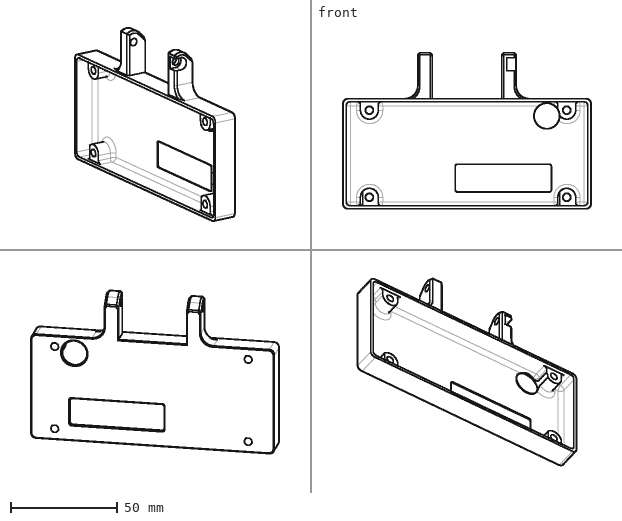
import cadquery as cq
import math

TRAY_WIDTH = 117.0
TRAY_HEIGHT = 52.0
TRAY_DEPTH = 11.6
WALL = 1.5
FLOOR = 1.0
OUTER_CORNER_RADIUS = 2.5
INNER_CORNER_RADIUS = 2.0
FLOOR_FILLET = 2.0
BACK_EDGE_CHAMFER = 0.5

BOSS_RADIUS = 4.2
BOSS_LEFT_X = -46.0
BOSS_RIGHT_X = 47.0
BOSS_END_INSET = 5.5
BOSS_RECESS = 2.0
BOSS_HOLE_DIAMETER = 3.6
BOSS_WALL_FILLET = 1.5
BOSS_FLAT_OFFSET = 3.2
BOSS_FLAT_LENGTH = 4.5
BOSS_FLAT_FILLET = 1.0

WINDOW_WIDTH = 45.2
WINDOW_HEIGHT = 13.0
WINDOW_LEFT = -5.5
WINDOW_BOTTOM = 8.0
WINDOW_CORNER_RADIUS = 1.0
ROUND_OPENING_DIAMETER = 12.0
ROUND_OPENING_X = 37.6
ROUND_OPENING_Z = 43.8

ARM_INNER_X = 16.3
ARM_THICKNESS = 6.9
ARM_HEIGHT = 21.6
ARM_DEPTH = 10.2
ARM_ROOT_RADIUS = 6.0
ARM_CHAMFER = 1.0
ARM_OVERLAP = 1.25
PIVOT_DIAMETER = 3.6
PIVOT_TIP_RADIUS = 5.4
PIVOT_FROM_BACK = 7.0
SLOT_WIDTH = 6.0
SLOT_DEPTH = 4.4

PICK = 0.1

ARM_OUTER_X = ARM_INNER_X + ARM_THICKNESS
ARM_TOP = TRAY_HEIGHT + ARM_HEIGHT
ARM_FRONT = TRAY_DEPTH - ARM_DEPTH
PIVOT_Y = TRAY_DEPTH - PIVOT_FROM_BACK
PIVOT_Z = ARM_TOP - PIVOT_TIP_RADIUS
FLOOR_Y = TRAY_DEPTH - FLOOR


def front_plane(y):
    """XZ sketch plane at the given Y whose extrusions run toward +Y (local y is -Z)."""
    return cq.Plane(origin=(0, y, 0), xDir=(1, 0, 0), normal=(0, 1, 0))


def block(x_min, x_max, y_min, y_max, z_min, z_max):
    size = (x_max - x_min, y_max - y_min, z_max - z_min)
    return cq.Workplane("XY").box(*size, centered=False).translate((x_min, y_min, z_min))


def cylinder_along_y(x, z, diameter, y_min, y_max):
    return cq.Workplane(front_plane(y_min)).center(x, -z).circle(diameter / 2).extrude(y_max - y_min)


def cylinder_along_x(y, z, diameter, x_min, x_max):
    return cq.Workplane("YZ", origin=(x_min, 0, 0)).center(y, z).circle(diameter / 2).extrude(x_max - x_min)


def boss_centers():
    """Yield X, Z and the Z direction toward the nearest long wall for each boss."""
    for x in (BOSS_LEFT_X, BOSS_RIGHT_X):
        yield x, BOSS_END_INSET, -1
        yield x, TRAY_HEIGHT - BOSS_END_INSET, 1


def make_outer_block():
    outer = block(-TRAY_WIDTH / 2, TRAY_WIDTH / 2, 0, TRAY_DEPTH, 0, TRAY_HEIGHT)
    return outer.edges("|Y").fillet(OUTER_CORNER_RADIUS)


def make_boss(x, z, wall_direction):
    """U-shaped boss whose flat sides run into the nearest long wall."""
    boss = cylinder_along_y(x, z, 2 * BOSS_RADIUS, BOSS_RECESS, FLOOR_Y + FLOOR / 2)
    z_wall = z + wall_direction * (BOSS_END_INSET - WALL / 2)
    web = block(x - BOSS_RADIUS, x + BOSS_RADIUS, BOSS_RECESS, FLOOR_Y + FLOOR / 2,
                min(z, z_wall), max(z, z_wall))
    return boss.union(web)


def make_cavity():
    """Inside volume of the tray, with the bosses left standing and the floor edges rounded."""
    half_width = TRAY_WIDTH / 2 - WALL
    cavity = block(-half_width, half_width, 0, FLOOR_Y, WALL, TRAY_HEIGHT - WALL)
    cavity = cavity.edges("|Y").fillet(INNER_CORNER_RADIUS)
    for x, z, wall_direction in boss_centers():
        cavity = cavity.cut(make_boss(x, z, wall_direction))
    cavity = cavity.edges(boss_wall_edges()).fillet(BOSS_WALL_FILLET)
    return cavity.faces(">Y").edges().fillet(FLOOR_FILLET)


def boss_wall_edges():
    """Selector for the corners along Y where the boss sides meet the long walls."""
    corners = None
    for x, _, wall_direction in boss_centers():
        z_wall = WALL if wall_direction < 0 else TRAY_HEIGHT - WALL
        for side in (-1, 1):
            corner = edge_at(x + side * BOSS_RADIUS, z_wall)
            corners = corner if corners is None else corners + corner
    return corners


def edge_at(x, z):
    """Selector for edges along Y at the given X and Z."""
    near = cq.selectors.BoxSelector(
        (x - PICK, -PICK, z - PICK), (x + PICK, TRAY_DEPTH, z + PICK))
    return near & cq.selectors.ParallelDirSelector(cq.Vector(0, 1, 0))


def make_boss_flat(x):
    """Cutter that flattens the left side of a lower boss, with a rounded foot on the wall."""
    y_end = BOSS_RECESS + BOSS_FLAT_LENGTH
    x_flat = x - BOSS_FLAT_OFFSET
    cutter = block(x_flat - BOSS_RADIUS, x_flat, BOSS_RECESS, y_end,
                   WALL, BOSS_END_INSET + BOSS_RADIUS)
    return cutter.edges(edge_at(x_flat, WALL)).fillet(BOSS_FLAT_FILLET)


def make_arm():
    """Right-hand arm: flared root, rounded and sloped tip, chamfered front and top edges."""
    root_x = ARM_OUTER_X + ARM_ROOT_RADIUS
    root_z = TRAY_HEIGHT + ARM_ROOT_RADIUS
    reach = ARM_ROOT_RADIUS * (1 - math.sqrt(0.5))
    bottom = TRAY_HEIGHT - ARM_OVERLAP
    arm = (
        cq.Workplane(front_plane(ARM_FRONT))
        .moveTo(ARM_INNER_X, -bottom)
        .lineTo(ARM_INNER_X, -ARM_TOP)
        .lineTo(ARM_OUTER_X, -ARM_TOP)
        .lineTo(ARM_OUTER_X, -root_z)
        .threePointArc((ARM_OUTER_X + reach, -(TRAY_HEIGHT + reach)), (root_x, -TRAY_HEIGHT))
        .lineTo(root_x, -bottom)
        .close()
        .extrude(ARM_DEPTH)
    )

    front_rise = math.sqrt(PIVOT_TIP_RADIUS ** 2 - (PIVOT_Y - ARM_FRONT) ** 2)
    tangent = PIVOT_TIP_RADIUS * math.sqrt(0.5)
    back_rise = PIVOT_TIP_RADIUS * math.sqrt(2) - PIVOT_FROM_BACK
    side_profile = (
        cq.Workplane("YZ")
        .moveTo(ARM_FRONT, bottom)
        .lineTo(ARM_FRONT, PIVOT_Z + front_rise)
        .threePointArc((PIVOT_Y, ARM_TOP), (PIVOT_Y + tangent, PIVOT_Z + tangent))
        .lineTo(TRAY_DEPTH, PIVOT_Z + back_rise)
        .lineTo(TRAY_DEPTH, bottom)
        .close()
        .extrude(root_x)
    )
    arm = arm.intersect(side_profile)

    upper_part = cq.selectors.BoxSelector(
        (0, ARM_FRONT - PICK, TRAY_HEIGHT), (root_x, TRAY_DEPTH - PICK, ARM_TOP))
    return arm.edges(upper_part).edges("not |X").chamfer(ARM_CHAMFER)


def make_slot():
    """Round-ended slot around the pivot, open to the front and outer side of the right arm."""
    x_min = ARM_OUTER_X - SLOT_DEPTH
    round_end = cylinder_along_x(PIVOT_Y, PIVOT_Z, SLOT_WIDTH, x_min, ARM_OUTER_X)
    mouth = block(x_min, ARM_OUTER_X, ARM_FRONT, PIVOT_Y,
                  PIVOT_Z - SLOT_WIDTH / 2, PIVOT_Z + SLOT_WIDTH / 2)
    return round_end.union(mouth)


def make_window():
    window = block(WINDOW_LEFT, WINDOW_LEFT + WINDOW_WIDTH, 0, TRAY_DEPTH,
                   WINDOW_BOTTOM, WINDOW_BOTTOM + WINDOW_HEIGHT)
    return window.edges("|Y").fillet(WINDOW_CORNER_RADIUS)


right_arm = make_arm()
left_arm = right_arm.mirror("YZ")
body = make_outer_block().union(right_arm).union(left_arm)
body = body.cut(make_window())
body = body.cut(cylinder_along_y(ROUND_OPENING_X, ROUND_OPENING_Z, ROUND_OPENING_DIAMETER, 0, TRAY_DEPTH))
body = body.faces(">Y").edges().chamfer(BACK_EDGE_CHAMFER)
body = body.cut(make_cavity()).cut(make_slot())
body = body.cut(cylinder_along_x(PIVOT_Y, PIVOT_Z, PIVOT_DIAMETER, -ARM_OUTER_X, ARM_OUTER_X))
for hole_x, hole_z, _ in boss_centers():
    body = body.cut(cylinder_along_y(hole_x, hole_z, BOSS_HOLE_DIAMETER, 0, TRAY_DEPTH))

for hole_x in (BOSS_LEFT_X, BOSS_RIGHT_X):
    body = body.cut(make_boss_flat(hole_x))
result = body